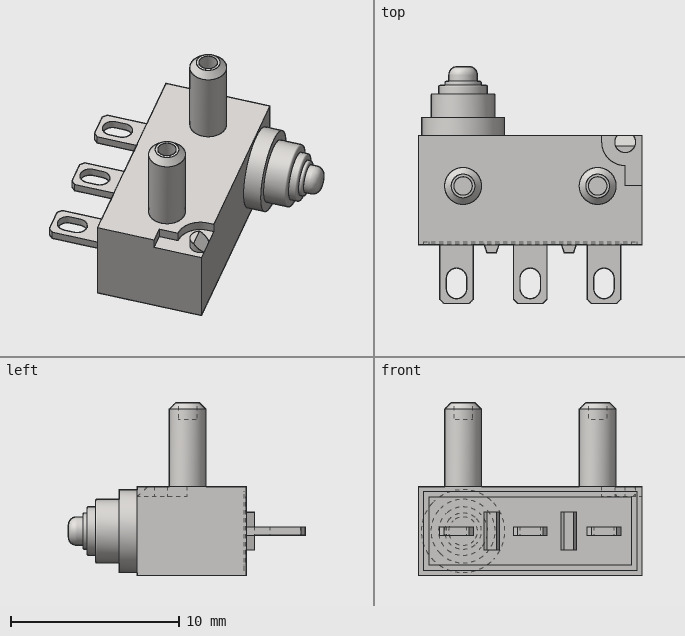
import cadquery as cq
total_length = 14.1
total_height = 10.3

body_width = 13.3
body_depth = 6.5
body_height = 5.29
center_x = body_width / 2
center_z = body_height / 2

rim_width = 0.3
groove_width = 0.32
groove_depth = 0.15
cover_recess = 0.05

terminal_pitch = 4.39
terminal_width = 2.0
terminal_thickness = 0.51
terminal_length = 3.5
terminal_chamfer = 0.25
eye_width = 1.2
eye_length = 1.8
eye_end_margin = 0.3

rib_pitch = 4.6
rib_base_width = 0.93
rib_tip_width = 0.56
rib_rise = 0.48
rib_height = 2.25

pin_diameter = 2.2
pin_bore = 1.1
pin_bore_depth = 1.0
pin_chamfer = 0.4
pin_pitch = 8.01
first_pin_x = 2.65
pin_y = 3.5

plunger_x = first_pin_x
collar_diameter = 4.95
collar_length = 1.07
boot_diameter = 3.8
boot_end = 2.48
boot_step_diameter = 2.9
boot_step_end = 2.99
boot_edge_radius = 0.1
boot_lip_diameter = 2.17
boot_lip_end = 3.23
plunger_diameter = 1.7
plunger_tip_radius = 0.5
plunger_end = total_length - terminal_length - body_depth

pocket_depth = 0.59
pocket_radius = 1.4
pocket_center_y = body_depth - 0.4
pocket_x = body_width - 1.0
pocket_arm_y = 3.54
post_diameter = 1.24
post_bevel_start = 5.87


def block(x_size, y_size, z_size, x, y, z):
    """Box from a centre in X and Z and a starting face in Y."""
    return cq.Workplane("XY").box(x_size, y_size, z_size, centered=(True, False, True)).translate((x, y, z))


def make_housing():
    housing = block(body_width, body_depth, body_height, center_x, 0, center_z)
    groove_x = body_width - 2 * rim_width
    groove_z = body_height - 2 * rim_width
    housing = housing.cut(block(groove_x, groove_depth, groove_z, center_x, 0, center_z))
    cover_x = groove_x - 2 * groove_width
    cover_z = groove_z - 2 * groove_width
    cover_thickness = groove_depth - cover_recess
    cover = block(cover_x, cover_thickness, cover_z, center_x, cover_recess, center_z)
    return housing.union(cover)


def make_terminal(x):
    blade_length = terminal_length + cover_recess
    blade = block(terminal_width, blade_length, terminal_thickness, x, -terminal_length, center_z)
    blade = blade.faces("<Y").edges("|Z").chamfer(terminal_chamfer)
    eye = (
        cq.Workplane("XY")
        .center(x, -terminal_length + eye_end_margin + eye_length / 2)
        .slot2D(eye_length, eye_width, 90)
        .extrude(body_height)
    )
    return blade.cut(eye)


def make_rib(x):
    half_base = rib_base_width / 2
    half_tip = rib_tip_width / 2
    outline = [
        (-half_base, cover_recess),
        (half_base, cover_recess),
        (half_tip, -rib_rise),
        (-half_tip, -rib_rise),
    ]
    return (
        cq.Workplane("XY", origin=(x, 0, center_z))
        .polyline(outline)
        .close()
        .extrude(rib_height / 2, both=True)
    )


def make_pin(x):
    return (
        cq.Workplane("XY", origin=(x, pin_y, body_height))
        .circle(pin_diameter / 2)
        .extrude(total_height - body_height)
        .faces(">Z")
        .chamfer(pin_chamfer)
        .faces(">Z")
        .workplane()
        .hole(pin_bore, pin_bore_depth)
    )


def make_plunger():
    boot_radius = boot_diameter / 2
    step_radius = boot_step_diameter / 2
    lip_radius = boot_lip_diameter / 2
    plunger_radius = plunger_diameter / 2
    profile = (
        cq.Workplane("XY", origin=(plunger_x, body_depth, center_z))
        .lineTo(collar_diameter / 2, 0)
        .lineTo(collar_diameter / 2, collar_length)
        .lineTo(boot_radius, collar_length)
        .lineTo(boot_radius, boot_end - boot_edge_radius)
        .radiusArc((boot_radius - boot_edge_radius, boot_end), -boot_edge_radius)
        .lineTo(step_radius, boot_end)
        .lineTo(step_radius, boot_step_end - boot_edge_radius)
        .radiusArc((step_radius - boot_edge_radius, boot_step_end), -boot_edge_radius)
        .lineTo(lip_radius, boot_step_end)
        .lineTo(lip_radius, boot_lip_end - boot_edge_radius)
        .radiusArc((lip_radius - boot_edge_radius, boot_lip_end), -boot_edge_radius)
        .lineTo(plunger_radius, boot_lip_end)
        .lineTo(plunger_radius, plunger_end - plunger_tip_radius)
        .radiusArc((plunger_radius - plunger_tip_radius, plunger_end), -plunger_tip_radius)
        .lineTo(0, plunger_end)
        .close()
    )
    return profile.revolve(360, (0, 0, 0), (0, 1, 0))


def make_pocket():
    floor_z = body_height - pocket_depth
    recess = (
        cq.Workplane("XY", origin=(0, 0, floor_z))
        .moveTo(pocket_x - pocket_radius, body_depth)
        .lineTo(pocket_x - pocket_radius, pocket_center_y)
        .radiusArc((pocket_x, pocket_center_y - pocket_radius), -pocket_radius)
        .lineTo(pocket_x, pocket_arm_y)
        .lineTo(body_width, pocket_arm_y)
        .lineTo(body_width, body_depth)
        .close()
        .extrude(pocket_depth)
    )
    post = (
        cq.Workplane("XY", origin=(pocket_x, pocket_center_y, floor_z))
        .circle(post_diameter / 2)
        .extrude(pocket_depth)
    )
    post_side = (
        cq.Workplane("YZ", origin=(pocket_x, 0, 0))
        .moveTo(0, floor_z)
        .lineTo(body_depth, floor_z)
        .lineTo(post_bevel_start, body_height)
        .lineTo(0, body_height)
        .close()
        .extrude(post_diameter, both=True)
    )
    return recess.cut(post.intersect(post_side))


result = make_housing().cut(make_pocket()).union(make_plunger())
for side in (-1, 0, 1):
    result = result.union(make_terminal(center_x + side * terminal_pitch))
for side in (-0.5, 0.5):
    result = result.union(make_rib(center_x + side * rib_pitch))
for index in range(2):
    result = result.union(make_pin(first_pin_x + index * pin_pitch))